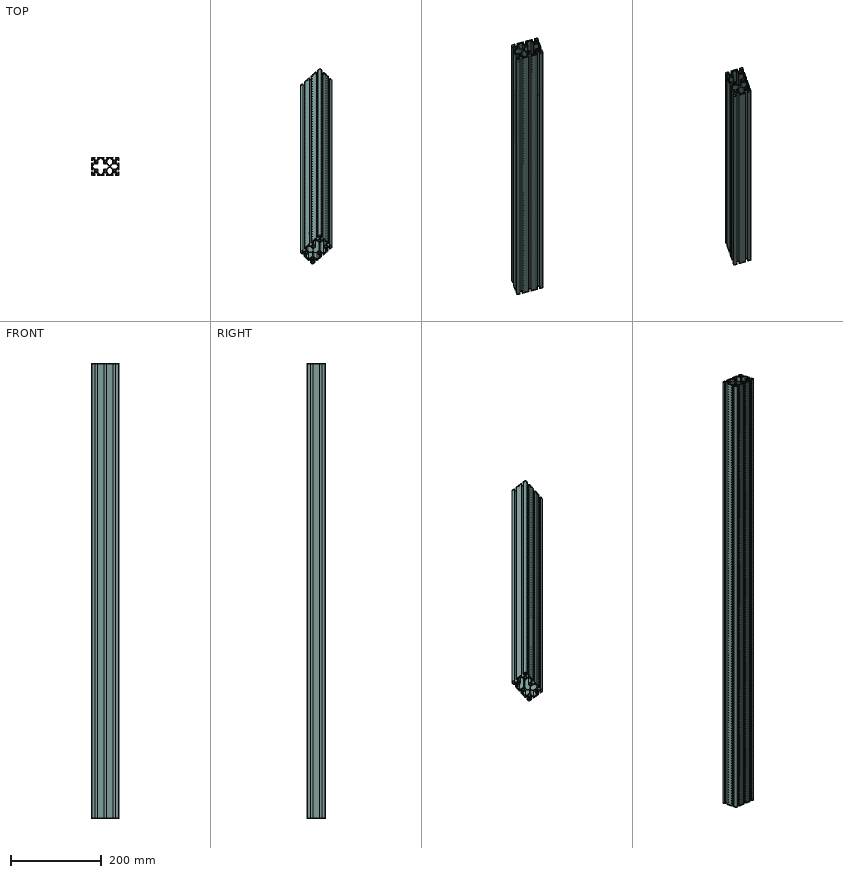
import cadquery as cq

LENGTH = 1000.0
CELL = 20.0
COLUMNS = 3
ROWS = 2
CORNER_RADIUS = 2.0
CORE_BORE = 4.3

HALF_CELL = CELL / 2
WIDTH = COLUMNS * CELL
DEPTH = ROWS * CELL
RIGHT_ANGLE = 90

NECK_HALF = 2.5
LIP_RADIUS = 0.9
LIP_THICKNESS = 1.8
LIP_TAPER = 0.9
UNDERCUT_HALF = 5.6
RIB_SLOT_OFFSET = 1.5
FLOOR_HEIGHT = 4.1
FLOOR_RADIUS = 4.0

ARM_HALF_WIDTH = 5.7
ARM_HALF_LENGTH = 8.0
ARM_TIP_HALF = 1.4
ARM_CORNER_RADIUS = 0.8

JUNCTION_X = HALF_CELL
OPENING_HALF_DIAGONAL = 13.0


def mirrored_prism(right_half):
    """Extrude an outline given by its +X points, from top to bottom."""
    left_half = [(-x, y) for x, y in reversed(right_half)]
    return cq.Workplane("XY").polyline(right_half + left_half).close().extrude(LENGTH)


def turned(body, quarter_turns):
    return body.rotate((0, 0, 0), (0, 0, 1), quarter_turns * RIGHT_ANGLE)


def cell_positions(count):
    return [(i - (count - 1) / 2) * CELL for i in range(count)]


def make_slot():
    """T-slot in the +Y face of a cell centred on the origin."""
    lip_underside = HALF_CELL - LIP_THICKNESS
    lip_root = lip_underside - LIP_TAPER
    floor_half = FLOOR_HEIGHT - RIB_SLOT_OFFSET
    undercut = mirrored_prism([
        (NECK_HALF, lip_underside),
        (UNDERCUT_HALF, lip_root),
        (UNDERCUT_HALF, UNDERCUT_HALF + RIB_SLOT_OFFSET),
        (floor_half, FLOOR_HEIGHT),
    ])
    undercut = undercut.edges("|Z and <Y").fillet(FLOOR_RADIUS)

    mouth_half = NECK_HALF + LIP_RADIUS
    rounding_end = HALF_CELL - LIP_RADIUS
    neck = (
        cq.Workplane("XY")
        .moveTo(-mouth_half, HALF_CELL)
        .lineTo(mouth_half, HALF_CELL)
        .radiusArc((NECK_HALF, rounding_end), -LIP_RADIUS)
        .lineTo(NECK_HALF, lip_root)
        .lineTo(-NECK_HALF, lip_root)
        .lineTo(-NECK_HALF, rounding_end)
        .radiusArc((-mouth_half, HALF_CELL), -LIP_RADIUS)
        .close()
        .extrude(LENGTH)
    )
    return undercut.union(neck)


def make_arm():
    """Hollow centred on the origin, running along Y between two cells."""
    shoulder = ARM_HALF_LENGTH - (ARM_HALF_WIDTH - ARM_TIP_HALF)
    arm = mirrored_prism([
        (ARM_TIP_HALF, ARM_HALF_LENGTH),
        (ARM_HALF_WIDTH, shoulder),
        (ARM_HALF_WIDTH, -shoulder),
        (ARM_TIP_HALF, -ARM_HALF_LENGTH),
    ])
    return arm.edges("|Z").fillet(ARM_CORNER_RADIUS)


def slot_cuts():
    slot = make_slot()
    columns = cell_positions(COLUMNS)
    rows = cell_positions(ROWS)
    cuts = []
    for x in columns:
        cuts.append(slot.translate((x, rows[-1], 0)))
        cuts.append(turned(slot, 2).translate((x, rows[0], 0)))
    for y in rows:
        cuts.append(turned(slot, 1).translate((columns[0], y, 0)))
        cuts.append(turned(slot, 3).translate((columns[-1], y, 0)))
    return cuts


def arm_cuts():
    arm = make_arm()
    upright_arms = [
        arm.translate((x, y, 0))
        for x in (-JUNCTION_X, JUNCTION_X)
        for y in cell_positions(ROWS)
    ]
    level_arms = [turned(arm, 1).translate((x, 0, 0)) for x in cell_positions(COLUMNS)]
    return upright_arms + level_arms


def junction_opening():
    """Diamond that removes the crossing ribs and joins four arms into one chamber."""
    reach = OPENING_HALF_DIAGONAL
    diamond = cq.Workplane("XY").polyline([(reach, 0), (0, reach), (-reach, 0), (0, -reach)])
    return diamond.close().extrude(LENGTH).translate((-JUNCTION_X, 0, 0))


body = cq.Workplane("XY").rect(WIDTH, DEPTH).extrude(LENGTH).edges("|Z").fillet(CORNER_RADIUS)

core_bores = (
    cq.Workplane("XY")
    .rarray(CELL, CELL, COLUMNS, ROWS)
    .circle(CORE_BORE / 2)
    .extrude(LENGTH)
)

for cut in [core_bores, *slot_cuts(), *arm_cuts(), junction_opening()]:
    body = body.cut(cut)

result = body